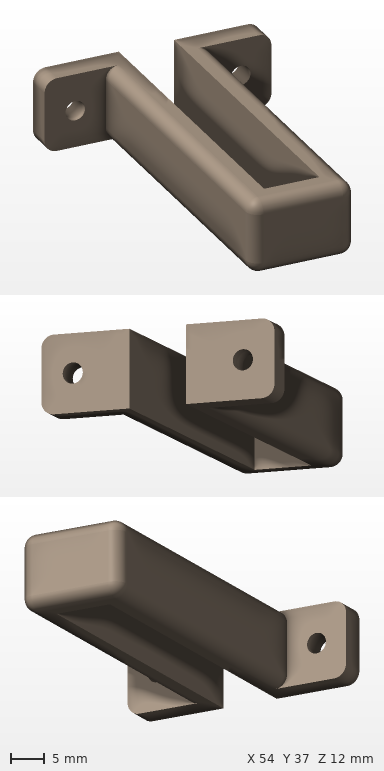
import cadquery as cq

length = 54.0
flange_span = 37.0
height = 12.0

wall = 4.0
edge_radius = 2.0
hole_diameter = 3.2

loop_width = 17.0
slot_width = loop_width - 2 * wall
loop_length = length - wall

hole_offset = (flange_span + loop_width) / 4


def make_loop_body():
    """Block in front of the flange, rounded everywhere except where it meets the flange."""
    body = cq.Workplane("XY").box(loop_length, loop_width, height, centered=(False, True, True))
    body = body.edges("not <X").fillet(edge_radius)
    return body.translate((wall, 0, 0))


def make_flange():
    """Plate at X = 0 with rounded outer corners and one hole in each tab."""
    plate = cq.Workplane("XY").box(wall, flange_span, height, centered=(False, True, True))
    plate = plate.edges("|X").fillet(edge_radius)
    holes = (
        cq.Workplane("YZ")
        .pushPoints([(-hole_offset, 0), (hole_offset, 0)])
        .circle(hole_diameter / 2)
        .extrude(wall)
    )
    return plate.cut(holes)


def make_slot():
    """Opening through the full height, leaving one wall at the closed end."""
    return cq.Workplane("XY").box(length - wall, slot_width, height, centered=(False, True, True))


result = make_flange().union(make_loop_body()).cut(make_slot())